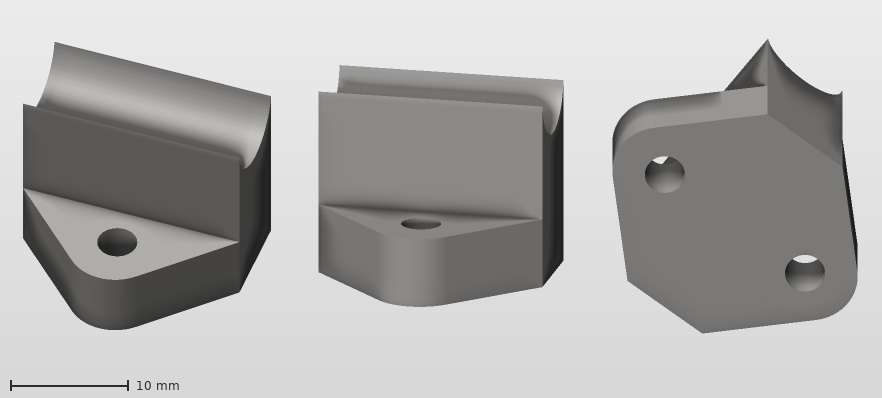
import cadquery as cq
import math

saddle_length = 19.5
saddle_width = 8.0
saddle_height = 16.0
flange_thickness = 6.0
turn_about_z = 0.3

ear_tip_radius = 4.05
hole_diameter = 3.4
hole_spacing = 15.0

groove_radius = saddle_width / 2
axis_offset = 1.0

half_length = saddle_length / 2
half_width = saddle_width / 2
round_axis_height = saddle_height - axis_offset / 2
groove_axis_height = saddle_height + axis_offset / 2


def make_flange():
    """Diamond plate with flat ends, two rounded ears and 45 degree sides."""
    ear_apex = half_width + half_length
    tip_center = ear_apex - ear_tip_radius * math.sqrt(2)
    tip = tip_center + ear_tip_radius
    tangent_x = ear_tip_radius / math.sqrt(2)
    tangent_y = ear_apex - tangent_x
    return (
        cq.Workplane("XY")
        .moveTo(half_length, -half_width)
        .lineTo(half_length, half_width)
        .lineTo(tangent_x, tangent_y)
        .threePointArc((0, tip), (-tangent_x, tangent_y))
        .lineTo(-half_length, half_width)
        .lineTo(-half_length, -half_width)
        .lineTo(-tangent_x, -tangent_y)
        .threePointArc((0, -tip), (tangent_x, -tangent_y))
        .close()
        .extrude(flange_thickness)
    )


def make_saddle():
    """Upright block with a half-round top."""
    return (
        cq.Workplane("YZ")
        .moveTo(-half_width, 0)
        .lineTo(half_width, 0)
        .lineTo(half_width, round_axis_height)
        .threePointArc((0, round_axis_height + half_width), (-half_width, round_axis_height))
        .close()
        .extrude(half_length, both=True)
    )


def make_groove():
    """Cylinder along the saddle that hollows out its top."""
    return (
        cq.Workplane("YZ")
        .center(0, groove_axis_height)
        .circle(groove_radius)
        .extrude(saddle_length, both=True)
    )


def make_mounting_holes():
    """One through hole in each ear."""
    return (
        cq.Workplane("XY")
        .rarray(1, hole_spacing, 1, 2)
        .circle(hole_diameter / 2)
        .extrude(flange_thickness)
    )


body = make_flange().union(make_saddle())
body = body.cut(make_groove()).cut(make_mounting_holes())
result = body.rotate((0, 0, 0), (0, 0, 1), turn_about_z)